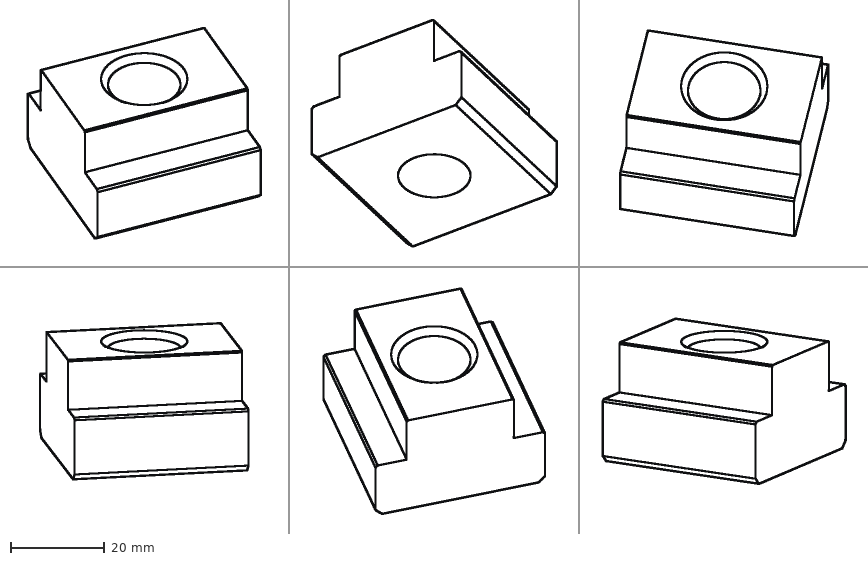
import cadquery as cq

base_width = 38.0
length = 38.0
total_height = 25.0
base_height = 14.0
neck_width = 24.0

bottom_chamfer = 1.5
shoulder_chamfer = 0.5
neck_chamfer = 0.3

hole_diameter = 15.5
countersink_diameter = 18.45
countersink_angle = 90.0


def make_block(width, height, top_chamfer):
    """Full-length block standing on Z = 0 with its long top edges chamfered."""
    block = cq.Workplane("XY").box(width, length, height, centered=(True, True, False))
    return block.faces(">Z").edges("|Y").chamfer(top_chamfer)


base = make_block(base_width, base_height, shoulder_chamfer)
base = base.faces("<Z").edges("|Y").chamfer(bottom_chamfer)
neck = make_block(neck_width, total_height, neck_chamfer)
body = base.union(neck)

result = (
    body.faces(">Z")
    .workplane(centerOption="CenterOfBoundBox")
    .cskHole(hole_diameter, countersink_diameter, countersink_angle)
)